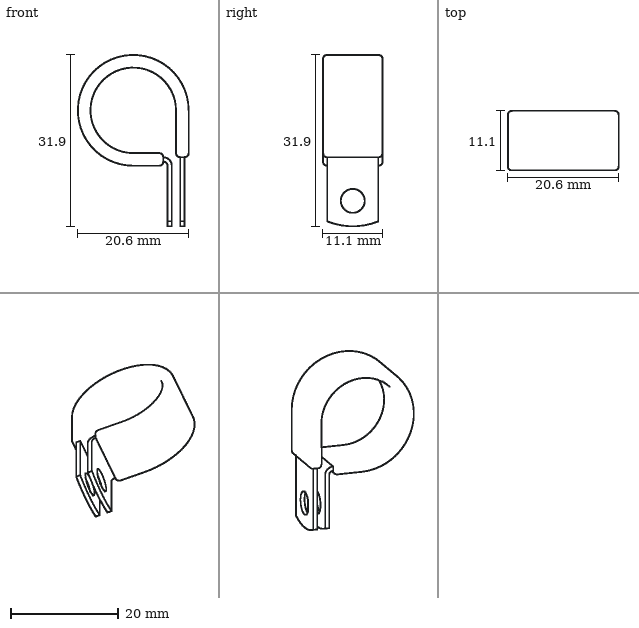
import cadquery as cq

outer_diameter = 20.65
outer_radius = outer_diameter / 2
cushion_thickness = 2.4
inner_radius = outer_radius - cushion_thickness
cushion_width = 11.1
edge_radius = 0.77
side_leg_length = 8.72
bottom_leg_length = 5.6

strap_thickness = 0.83
strap_width = 9.55
strap_outer_radius = (outer_radius + inner_radius + strap_thickness) / 2
strap_inner_radius = strap_outer_radius - strap_thickness
bend_outer_radius = 1.6
bend_inner_radius = bend_outer_radius - strap_thickness
overall_height = 31.95
tab_bottom = outer_radius - overall_height

tab_end_rise = 0.93
hole_diameter = 4.4
hole_height = 4.75

bend_z = -strap_inner_radius - bend_outer_radius
bent_tab_outer_x = bottom_leg_length + bend_outer_radius
bent_tab_inner_x = bent_tab_outer_x - strap_thickness


def make_cushion():
    """Three-quarter loop with a leg at each end, rounded on every outer edge."""
    outline = (
        cq.Workplane("XZ")
        .moveTo(outer_radius, -side_leg_length)
        .lineTo(outer_radius, 0)
        .threePointArc((0, outer_radius), (-outer_radius, 0))
        .radiusArc((0, -outer_radius), -outer_radius)
        .lineTo(bottom_leg_length, -outer_radius)
        .lineTo(bottom_leg_length, -inner_radius)
        .lineTo(0, -inner_radius)
        .radiusArc((-inner_radius, 0), inner_radius)
        .threePointArc((0, inner_radius), (inner_radius, 0))
        .lineTo(inner_radius, -side_leg_length)
        .close()
    )
    body = outline.extrude(cushion_width / 2, both=True)
    side_edges = body.faces("<Y or >Y").edges().vals()
    end_edges = [
        edge
        for edge in body.edges("|Y").vals()
        if edge.Center().z < -edge_radius and edge.Center().x > edge_radius
    ]
    return body.newObject(side_edges + end_edges).fillet(edge_radius)


def make_tab(inner_x, top_z):
    """Flat tab hanging from top_z, with a curved lower end."""
    half_width = strap_width / 2
    return (
        cq.Workplane("YZ", origin=(inner_x, 0, 0))
        .moveTo(-half_width, top_z)
        .lineTo(-half_width, tab_bottom + tab_end_rise)
        .threePointArc((0, tab_bottom), (half_width, tab_bottom + tab_end_rise))
        .lineTo(half_width, top_z)
        .close()
        .extrude(strap_thickness)
    )


def make_bend():
    """Quarter bend leading from the bottom leg down into its tab."""
    return (
        cq.Workplane("XZ")
        .moveTo(0, -strap_inner_radius)
        .lineTo(bottom_leg_length, -strap_inner_radius)
        .radiusArc((bent_tab_outer_x, bend_z), bend_outer_radius)
        .lineTo(bent_tab_inner_x, bend_z)
        .radiusArc((bottom_leg_length, -strap_outer_radius), -bend_inner_radius)
        .lineTo(0, -strap_outer_radius)
        .close()
        .extrude(strap_width / 2, both=True)
    )


def make_screw_hole():
    """Cutter passing through both tabs along X."""
    return (
        cq.Workplane("YZ")
        .center(0, tab_bottom + hole_height)
        .circle(hole_diameter / 2)
        .extrude(outer_radius)
    )


straight_tab = make_tab(strap_inner_radius, 0)
bent_tab = make_tab(bent_tab_inner_x, bend_z)
clamp = make_cushion().union(straight_tab).union(make_bend()).union(bent_tab)
result = clamp.cut(make_screw_hole())